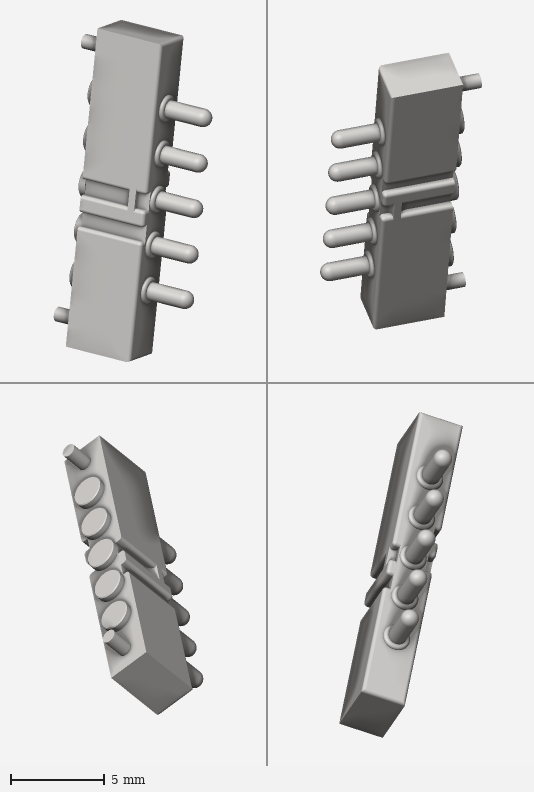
import cadquery as cq
import math

THICKNESS = 4.0
WIDTH = 2.5
TILT = 10.6
OVERALL_HEIGHT = 17.94
LEAN = math.radians(TILT)
LENGTH = (OVERALL_HEIGHT - WIDTH * math.sin(LEAN)) / math.cos(LEAN)
EDGE_RADIUS = 0.2
FRONT_X = THICKNESS

NOTCH_DEPTH = 0.4
CHANNEL_DEPTH = 0.43
NOTCH_HEIGHT = 0.8
NOTCH_OFFSET = 1.8
CHANNEL_HEIGHT = 0.9
BACK_CHANNEL_LENGTH = 2.95
FRONT_CHANNEL_LENGTH = 0.65
BACK_CHANNEL_END_RADIUS = CHANNEL_DEPTH
FRONT_CHANNEL_END_RADIUS = 0.22

PIN_COUNT = 5
PITCH = LENGTH / (PIN_COUNT + 2)
HEAD_DIAMETER = 1.8
HEAD_HEIGHT = 0.43
HEAD_CHAMFER = 0.05
BARREL_DIAMETER = 1.5
BARREL_PROJECTION = 0.2
BARREL_EDGE_RADIUS = 0.18
TIP_DIAMETER = 1.0
TIP_PROJECTION = 2.8

PEG_DIAMETER = 0.8
PEG_LENGTH = 1.4
PEG_OFFSET = (PIN_COUNT + 1) / 2 * PITCH

PIN_HEIGHTS = [(i - (PIN_COUNT - 1) / 2) * PITCH for i in range(PIN_COUNT)]

SIDE_Y = WIDTH / 2
TOLERANCE = 0.002


def box(x_min, x_max, y_min, y_max, height, z_mid):
    """Block between X and Y limits, centred on z_mid."""
    return (
        cq.Workplane("XY")
        .box(x_max - x_min, y_max - y_min, height, centered=False)
        .translate((x_min, y_min, z_mid - height / 2))
    )


def rod(x_min, x_max, diameter, z):
    """Cylinder along X."""
    return cq.Workplane("YZ", origin=(x_min, 0, z)).circle(diameter / 2).extrude(x_max - x_min)


def slot(height, depth, length):
    """Slot in the -Y side, running from X = 0 along X, with rounded mouth edges."""
    half = height / 2
    floor_y = depth - SIDE_Y
    mouth = half + EDGE_RADIUS
    shoulder_y = -SIDE_Y + EDGE_RADIUS
    return (
        cq.Workplane("YZ")
        .moveTo(floor_y, -half)
        .lineTo(shoulder_y, -half)
        .radiusArc((-SIDE_Y, -mouth), -EDGE_RADIUS)
        .lineTo(-SIDE_Y, mouth)
        .radiusArc((shoulder_y, half), -EDGE_RADIUS)
        .lineTo(floor_y, half)
        .close()
        .extrude(length)
    )


def blind_channel(length, end_radius):
    """Slot that stops in a hollow rounding between its floor and its end wall."""
    outline = box(0, length, -WIDTH, CHANNEL_DEPTH - SIDE_Y, WIDTH, 0).edges(">X and >Y").fillet(end_radius)
    return slot(CHANNEL_HEIGHT, CHANNEL_DEPTH, length).intersect(outline)


def side_relief():
    """Everything cut from the -Y side: a cross notch and two channels with a wall between them."""
    notch = slot(NOTCH_HEIGHT, NOTCH_DEPTH, THICKNESS).translate((0, 0, -NOTCH_OFFSET))
    back_channel = blind_channel(BACK_CHANNEL_LENGTH, BACK_CHANNEL_END_RADIUS)
    front_channel = blind_channel(FRONT_CHANNEL_LENGTH, FRONT_CHANNEL_END_RADIUS)
    front_channel = front_channel.mirror("YZ").translate((FRONT_X, 0, 0))
    return [notch, back_channel, front_channel]


def is_front_rim(edge):
    """Edges of the front face, except along the relief floors."""
    c = edge.Center()
    on_front = abs(c.x - FRONT_X) < TOLERANCE and edge.BoundingBox().xlen < TOLERANCE
    depth = SIDE_Y - abs(c.y)
    on_floor = min(abs(depth - NOTCH_DEPTH), abs(depth - CHANNEL_DEPTH)) < TOLERANCE
    return on_front and not on_floor


def make_housing():
    """Bar with its side reliefs, rounded front rim, pin holes and mounting pegs."""
    bar = box(0, FRONT_X, -SIDE_Y, SIDE_Y, LENGTH, 0)
    for turn in (0, 180):
        for cut in side_relief():
            bar = bar.cut(cut.rotate((0, 0, 0), (1, 0, 0), turn))
    bar = bar.newObject([e for e in bar.edges().vals() if is_front_rim(e)]).fillet(EDGE_RADIUS)
    for z in PIN_HEIGHTS:
        bar = bar.cut(rod(0, FRONT_X, BARREL_DIAMETER, z))
    for z in (-PEG_OFFSET, PEG_OFFSET):
        bar = bar.union(rod(-PEG_LENGTH, 0, PEG_DIAMETER, z))
    return bar


def make_pin(z):
    """One contact pin on the housing centre line."""
    head = rod(-HEAD_HEIGHT, 0, HEAD_DIAMETER, z).faces("<X").chamfer(HEAD_CHAMFER)
    barrel_end = FRONT_X + BARREL_PROJECTION
    barrel = rod(0, barrel_end, BARREL_DIAMETER, z).faces(">X").fillet(BARREL_EDGE_RADIUS)
    ball_x = FRONT_X + TIP_PROJECTION - TIP_DIAMETER / 2
    shank = rod(barrel_end, ball_x, TIP_DIAMETER, z)
    ball = cq.Workplane("XY").sphere(TIP_DIAMETER / 2).translate((ball_x, 0, z))
    return head.union(barrel).union(shank).union(ball)


def tilted(body):
    """Body leaned with its top towards +Y."""
    return body.rotate((0, 0, 0), (1, 0, 0), -TILT)


housing = tilted(make_housing())
pins = [tilted(make_pin(z)) for z in PIN_HEIGHTS]

result = cq.Compound.makeCompound([housing.val(), *[pin.val() for pin in pins]])